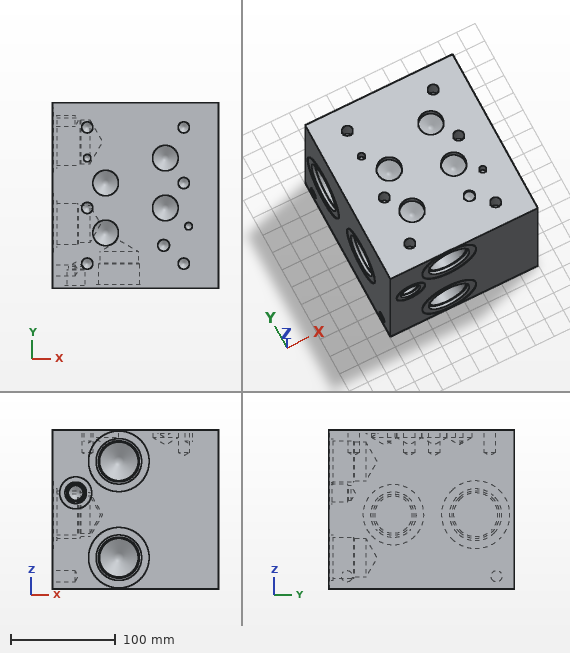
import cadquery as cq
import math

LENGTH_X = 158.8
LENGTH_Y = 177.8
HEIGHT = 152.4

DRILL_POINT_ANGLE = 120
SPOTFACE_DEPTH = 0.7

LARGE_PORT = {"spotface": 65.0, "mouth": 49.8, "thread": 45.5, "drill": 42.1,
              "mouth_depth": 4.1, "thread_depth": 26.0, "drill_depth": 35.5}
MEDIUM_PORT = {"spotface": 58.0, "mouth": 43.5, "thread": 39.3, "drill": 35.7,
               "mouth_depth": 4.1, "thread_depth": 23.8, "drill_depth": 35.5}
FRONT_PORT = dict(MEDIUM_PORT, drill=37.0)
SMALL_PORT = {"spotface": 30.5, "mouth": 20.6, "thread": 17.5, "drill": 14.2,
              "mouth_depth": 3.2, "thread_depth": 17.8, "drill_depth": 21.3}

FRONT_PORT_X = 63.5
FRONT_PORT_HALF_SPACING = 46.0
SMALL_PORT_X = 22.2
SMALL_PORT_Z = 92.1

SIDE_PORT_Z = 71.5
LARGE_PORT_Y = 140.5
MEDIUM_PORT_Y = 61.9
SIDE_BOLT_EDGE = 17.5
SIDE_BOLT_Z = 12.6

BOLT_DIAMETER = 10.7
BOLT_DEPTH = 21.3
BOLT_X = 33.2
BOLT_Y = 23.8
MIDDLE_BOLT_Y = 77.0
PILOT_HOLE = (106.3, 41.2)
PILOT_DIAMETER = 11.2
PILOT_DEPTH = 3.2
PIN_HOLES = [(BOLT_X, 124.6), (130.1, 59.5)]
PIN_DIAMETER = 7.1
PIN_DEPTH = 10.7
FLOW_X = 50.9
FLOW_NEAR_Y = 53.2
FLOW_FAR_Y = 100.8
FLOW_DIAMETER = 24.5
FLOW_DEPTH = 7.1

FROM_TOP = cq.Vector(0, 0, -1)
FROM_FRONT = cq.Vector(0, 1, 0)
FROM_SIDE = cq.Vector(1, 0, 0)


def drilled_hole(diameter, depth, mouth, direction):
    """Cylinder with a conical drill point, starting at the mouth."""
    radius = diameter / 2
    point_length = radius / math.tan(math.radians(DRILL_POINT_ANGLE / 2))
    mouth = cq.Vector(*mouth)
    bore = cq.Solid.makeCylinder(radius, depth, mouth, direction)
    point = cq.Solid.makeCone(radius, 0, point_length, mouth + direction * depth, direction)
    return bore.fuse(point)


def port(sizes, mouth, direction):
    """Spotface and flat-bottomed mouth over a pointed thread bore, with a narrower drilled hole beyond."""
    start = cq.Vector(*mouth)
    spotface = cq.Solid.makeCylinder(sizes["spotface"] / 2, SPOTFACE_DEPTH, start, direction)
    seat = cq.Solid.makeCylinder(sizes["mouth"] / 2, sizes["mouth_depth"], start, direction)
    thread = drilled_hole(sizes["thread"], sizes["thread_depth"], mouth, direction)
    drill = drilled_hole(sizes["drill"], sizes["drill_depth"], mouth, direction)
    return drill.fuse(thread, seat, spotface)


def half_turn_pair(x, y):
    """A place on the top face and its copy, half a turn about the face centre."""
    return [(x, y), (LENGTH_X - x, LENGTH_Y - y)]


cutters = []

for offset in (-FRONT_PORT_HALF_SPACING, FRONT_PORT_HALF_SPACING):
    cutters.append(port(FRONT_PORT, (FRONT_PORT_X, 0, HEIGHT / 2 + offset), FROM_FRONT))
cutters.append(port(SMALL_PORT, (SMALL_PORT_X, 0, SMALL_PORT_Z), FROM_FRONT))

cutters.append(port(LARGE_PORT, (0, LARGE_PORT_Y, SIDE_PORT_Z), FROM_SIDE))
cutters.append(port(MEDIUM_PORT, (0, MEDIUM_PORT_Y, SIDE_PORT_Z), FROM_SIDE))
for y in (SIDE_BOLT_EDGE, LENGTH_Y - SIDE_BOLT_EDGE):
    cutters.append(drilled_hole(BOLT_DIAMETER, BOLT_DEPTH, (0, y, SIDE_BOLT_Z), FROM_SIDE))

bolt_holes = half_turn_pair(BOLT_X, BOLT_Y)
bolt_holes += half_turn_pair(BOLT_X, LENGTH_Y - BOLT_Y)
bolt_holes += half_turn_pair(BOLT_X, MIDDLE_BOLT_Y)
flow_holes = half_turn_pair(FLOW_X, FLOW_NEAR_Y) + half_turn_pair(FLOW_X, FLOW_FAR_Y)
top_holes = [
    (bolt_holes, BOLT_DIAMETER, BOLT_DEPTH),
    ([PILOT_HOLE], PILOT_DIAMETER, PILOT_DEPTH),
    (PIN_HOLES, PIN_DIAMETER, PIN_DEPTH),
    (flow_holes, FLOW_DIAMETER, FLOW_DEPTH),
]
for places, diameter, depth in top_holes:
    for x, y in places:
        cutters.append(drilled_hole(diameter, depth, (x, y, HEIGHT), FROM_TOP))

block = cq.Workplane("XY").box(LENGTH_X, LENGTH_Y, HEIGHT, centered=False)
result = cq.Workplane("XY").newObject([block.val().cut(*cutters)])